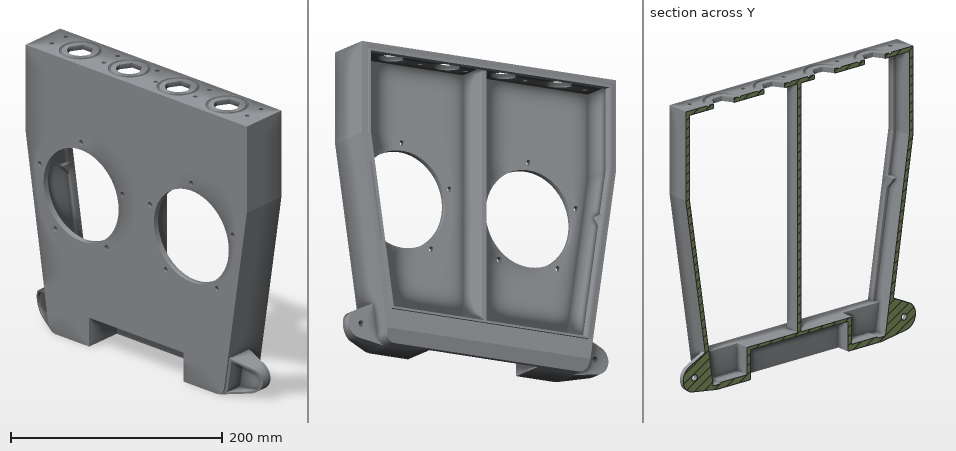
import cadquery as cq
import math

HEIGHT = 290.0
BODY_DEPTH = 49.3
TOP_HALF_WIDTH = 140.5
TAPER_START_Z = 200.0
BOTTOM_HALF_WIDTH = 110.2
BOTTOM_CORNER_RADIUS = 10.0
WALL = 5.0
FRONT_WALL = 6.0

BEVEL_DEPTH = 4.4
BEVEL_HEIGHT = 13.0

LEDGE_Y = 44.7
RIM_INSET = 6.7
RIM_WIDTH = 2.0
RIM_HEIGHT = 2.5
RIM_BOTTOM_Z = 32.0

NOTCH_HALF_WIDTH = 59.7
NOTCH_HEIGHT = 30.2
NOTCH_DEPTH = 39.5

DIVIDER_BACK_Y = 41.0
FLOOR_PAD_HALF_WIDTH = 97.0
FLOOR_PAD_HEIGHT = 1.5
BLOCK_INNER_X = 124.0
BLOCK_FRONT_Y = 36.0
BLOCK_TOP_Z = 156.5
BLOCK_FRONT_Z = 155.2
BLOCK_BOTTOM_Z = 145.0

WINDOW_X = 70.0
WINDOW_Z = 154.3
WINDOW_DIAMETER = 95.0
WINDOW_SCREW_RADIUS = 55.0
WINDOW_SCREW_DIAMETER = 5.2
WINDOW_SCREW_COUNT = 5

SOCKET_PITCH = 62.0
SOCKET_COUNT = 4
SOCKET_Y = 25.2
SOCKET_RADIUS = 12.8
GROOVE_MEAN_RADIUS = 19.0
GROOVE_SECTION_RADIUS = 1.5

TOP_SCREW_DIAMETER = 4.5
TOP_SCREW_OUTER_X = 123.8
TOP_SCREW_INNER_X = 58.0
TOP_SCREW_CENTRE_X = 7.8
TOP_SCREW_FRONT_Y = 19.0
TOP_SCREW_BACK_Y = 39.2

EAR_TIP_X = 143.5
EAR_TIP_RADIUS = 14.2
EAR_TIP_Z = 18.5
EAR_ROOT_TOP_Z = 40.5
EAR_BACK_Y = 30.2
EAR_WALL = 2.0
EAR_POCKET_Y = 21.2
EAR_ROOT_LOW_X = 101.5
EAR_FLANK_LENGTH = 26.0
EAR_FRONT_Y = 2.0
EAR_FRONT_SLOPE = 30.0
EAR_HOLE_DIAMETER = 6.5
EAR_HOLE_FLOOR = 0.5

TAPER = (TOP_HALF_WIDTH - BOTTOM_HALF_WIDTH) / TAPER_START_Z
TAPER_SECANT = math.hypot(1, TAPER)


def side_x(z, inset=0.0):
    """X of the leaning side wall at height z, moved inward by inset."""
    return BOTTOM_HALF_WIDTH + TAPER * z - inset * TAPER_SECANT


def prism(points, y_start, y_end):
    """Extrude a closed outline given in X and Z from y_start to y_end."""
    return cq.Workplane("XZ", origin=(0, y_start, 0)).polyline(points).close().extrude(y_start - y_end)


def housing_block(inset, bottom_z, y_start, y_end):
    """Housing outline, moved inward by inset and cut off at bottom_z, as a prism."""
    top_x = TOP_HALF_WIDTH - inset
    kink_z = (top_x - side_x(0, inset)) / TAPER
    right = [(side_x(bottom_z, inset), bottom_z), (top_x, kink_z), (top_x, HEIGHT - inset)]
    left = [(-x, z) for x, z in reversed(right)]
    return prism(right + left, y_start, y_end)


def rounded_block(inset, y_start, y_end):
    """Housing outline with its two rounded lower corners, moved inward by inset, as a prism."""
    block = housing_block(inset, inset, y_start, y_end)
    return block.edges("|Y and <Z").fillet(BOTTOM_CORNER_RADIUS - inset)


def y_cylinder(x, z, diameter, y_start, y_end):
    return cq.Workplane("XZ", origin=(x, y_start, z)).circle(diameter / 2).extrude(y_start - y_end)


def centred_box(half_width, y_start, y_end, z_start, z_end):
    size = (2 * half_width, y_end - y_start, z_end - z_start)
    return cq.Workplane("XY").box(*size, centered=(True, False, False)).translate((0, y_start, z_start))


def make_shell():
    body = rounded_block(0, 0, BODY_DEPTH)
    bevel = (
        cq.Workplane("YZ")
        .polyline([(BODY_DEPTH, 0), (BODY_DEPTH - BEVEL_DEPTH, 0), (BODY_DEPTH, BEVEL_HEIGHT)])
        .close()
        .extrude(TOP_HALF_WIDTH, both=True)
    )
    body = body.cut(bevel)

    rim_end = BODY_DEPTH + RIM_HEIGHT
    rim = housing_block(RIM_INSET, RIM_BOTTOM_Z, BODY_DEPTH, rim_end)
    opening = housing_block(RIM_INSET + RIM_WIDTH, RIM_BOTTOM_Z + RIM_WIDTH, FRONT_WALL, rim_end)

    cavity = housing_block(WALL, WALL, FRONT_WALL, NOTCH_DEPTH)
    upper_cavity = housing_block(WALL, RIM_BOTTOM_Z + RIM_WIDTH, FRONT_WALL, LEDGE_Y)
    notch_cover = centred_box(NOTCH_HALF_WIDTH + WALL, 0, BODY_DEPTH, 0, NOTCH_HEIGHT + WALL)
    floor_pad = centred_box(FLOOR_PAD_HALF_WIDTH, 0, BODY_DEPTH, 0, WALL + FLOOR_PAD_HEIGHT)
    divider = centred_box(WALL / 2, 0, DIVIDER_BACK_Y, 0, HEIGHT)
    cavity = cavity.union(upper_cavity).cut(notch_cover).cut(floor_pad).union(opening).cut(divider)

    notch = centred_box(NOTCH_HALF_WIDTH, 0, NOTCH_DEPTH, 0, NOTCH_HEIGHT)
    return body.union(rim).cut(cavity).cut(notch)


def make_side_block():
    """Block on the right side wall that reaches the back; its underside slopes up to the front."""
    outer_x = side_x(BLOCK_BOTTOM_Z, WALL / 2)
    return (
        cq.Workplane("YZ", origin=(BLOCK_INNER_X, 0, 0))
        .moveTo(BLOCK_FRONT_Y, BLOCK_TOP_Z)
        .lineTo(BLOCK_FRONT_Y, BLOCK_FRONT_Z)
        .lineTo(LEDGE_Y, BLOCK_BOTTOM_Z)
        .lineTo(BODY_DEPTH, BLOCK_BOTTOM_Z)
        .lineTo(BODY_DEPTH, BLOCK_TOP_Z)
        .close()
        .extrude(outer_x - BLOCK_INNER_X)
    )


def window_cutter(x):
    cutter = y_cylinder(x, WINDOW_Z, WINDOW_DIAMETER, 0, FRONT_WALL)
    for i in range(WINDOW_SCREW_COUNT):
        angle = math.radians(90 + i * 360 / WINDOW_SCREW_COUNT)
        screw_x = x + WINDOW_SCREW_RADIUS * math.cos(angle)
        screw_z = WINDOW_Z + WINDOW_SCREW_RADIUS * math.sin(angle)
        cutter = cutter.union(y_cylinder(screw_x, screw_z, WINDOW_SCREW_DIAMETER, 0, FRONT_WALL))
    return cutter


def socket_cutter(x):
    half_flat = SOCKET_RADIUS / 2
    flat_y = SOCKET_RADIUS * math.cos(math.pi / 6)
    hole = (
        cq.Workplane("XY", origin=(x, SOCKET_Y, HEIGHT - WALL))
        .moveTo(SOCKET_RADIUS, 0)
        .lineTo(half_flat, flat_y)
        .lineTo(-half_flat, flat_y)
        .lineTo(-SOCKET_RADIUS, 0)
        .threePointArc((0, -SOCKET_RADIUS), (SOCKET_RADIUS, 0))
        .close()
        .extrude(WALL)
    )
    groove = cq.Solid.makeTorus(
        GROOVE_MEAN_RADIUS, GROOVE_SECTION_RADIUS, cq.Vector(x, SOCKET_Y, HEIGHT), cq.Vector(0, 0, 1)
    )
    return hole.union(cq.Workplane(groove))


def top_screw_cutter():
    columns = [-TOP_SCREW_OUTER_X, -TOP_SCREW_INNER_X, TOP_SCREW_INNER_X, TOP_SCREW_OUTER_X]
    places = [(x, y) for x in columns for y in (TOP_SCREW_FRONT_Y, TOP_SCREW_BACK_Y)]
    places += [(-TOP_SCREW_CENTRE_X, TOP_SCREW_BACK_Y), (TOP_SCREW_CENTRE_X, TOP_SCREW_FRONT_Y)]
    plane = cq.Workplane("XY", origin=(0, 0, HEIGHT - WALL))
    return plane.pushPoints(places).circle(TOP_SCREW_DIAMETER / 2).extrude(WALL)


def flank_contact(point_x, point_z, turn):
    """Angle on the ear tip where a straight flank from the given point is tangent."""
    dx = point_x - EAR_TIP_X + EAR_TIP_RADIUS
    dz = point_z - EAR_TIP_Z
    return math.atan2(dz, dx) + turn * math.acos(EAR_TIP_RADIUS / math.hypot(dx, dz))


def ear_block(inset, y_start, y_end):
    """Right ear as a prism: a round tip between two straight flanks that run into the housing."""
    upper_angle = flank_contact(side_x(EAR_ROOT_TOP_Z), EAR_ROOT_TOP_Z, -1)
    lower_angle = flank_contact(EAR_ROOT_LOW_X, 0, 1)

    def flank_point(angle, distance):
        """Point on a flank, at a signed distance along it from where it touches the tip."""
        radius = EAR_TIP_RADIUS - inset
        x = EAR_TIP_X - EAR_TIP_RADIUS + radius * math.cos(angle) - distance * math.sin(angle)
        z = EAR_TIP_Z + radius * math.sin(angle) + distance * math.cos(angle)
        return (x, z)

    return (
        cq.Workplane("XZ", origin=(0, y_start, 0))
        .moveTo(*flank_point(upper_angle, 0))
        .threePointArc(flank_point(0, 0), flank_point(lower_angle, 0))
        .lineTo(*flank_point(lower_angle, -EAR_FLANK_LENGTH))
        .lineTo(*flank_point(upper_angle, EAR_FLANK_LENGTH))
        .close()
        .extrude(y_start - y_end)
    )


def make_ear():
    """Right ear: a pocket open to the sloping front, and a blind hole in the back."""
    ear = ear_block(0, 0, EAR_BACK_Y).cut(rounded_block(0, 0, BODY_DEPTH))
    pocket = ear_block(EAR_WALL, 0, EAR_POCKET_Y).cut(rounded_block(-EAR_WALL, 0, BODY_DEPTH))
    tip_x = EAR_TIP_X - EAR_TIP_RADIUS
    hole = y_cylinder(tip_x, EAR_TIP_Z, EAR_HOLE_DIAMETER, EAR_POCKET_Y + EAR_HOLE_FLOOR, EAR_BACK_Y)

    slope = math.tan(math.radians(EAR_FRONT_SLOPE))
    along_wall = cq.Plane(origin=(BOTTOM_HALF_WIDTH, 0, 0), xDir=(1, 0, -TAPER), normal=(TAPER, 0, 1))
    start = -EAR_FRONT_Y / slope
    end = EAR_TIP_X - BOTTOM_HALF_WIDTH + EAR_TIP_RADIUS
    sloping_front = (
        cq.Workplane(along_wall)
        .polyline([(start, 0), (end, 0), (end, (end - start) * slope)])
        .close()
        .extrude(2 * EAR_ROOT_TOP_Z, both=True)
    )
    return ear.cut(pocket).cut(hole).cut(sloping_front)


housing = make_shell()
for side in (-1, 1):
    housing = housing.cut(window_cutter(side * WINDOW_X))
for i in range(SOCKET_COUNT):
    housing = housing.cut(socket_cutter((i - (SOCKET_COUNT - 1) / 2) * SOCKET_PITCH))
housing = housing.cut(top_screw_cutter())

right_parts = make_ear().union(make_side_block())
result = housing.union(right_parts).union(right_parts.mirror("YZ"))